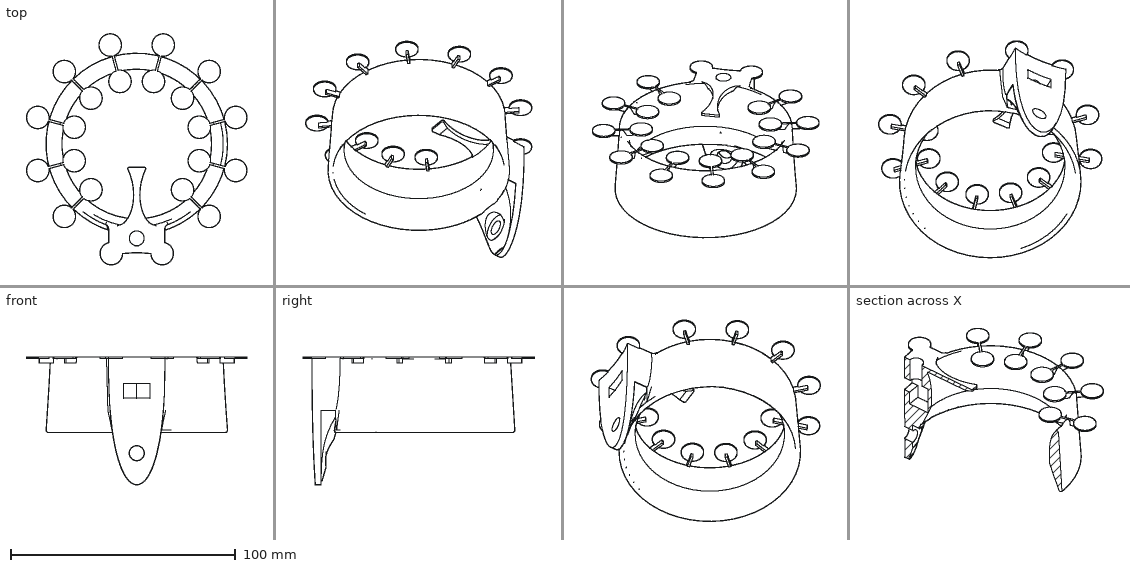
import cadquery as cq
import math


ring_height = 33.8
crest_radius = 37.6
crest_round = 0.9
lip_angle = 36.0
foot_radius = 39.3
foot_round = 1.1
throat_radius = 33.3
throat_top = -11.4
throat_bottom = -20.7

pad_count = 12
pad_radius = 5.0
pad_thickness = 0.7
outer_pad_circle = 45.6
inner_pad_circle = 28.8
front_pad_x = 11.3
front_pad_y = -48.8
strut_width = 0.98
strut_depth = 2.9
strut_inner_end = 29.5
strut_outer_end = 45.0

mount_depth = 57.0
mount_half_width = 12.6
outline_power = 2.6
outline_steps = 16
face_center_y = -48.5
face_radius = 54.6
tongue_back_y = -45.8
block_bottom = -23.9
block_back_y = -35.5

corner_fillet = 2.1
corner_overlap = 0.05
corner_end_z = -32.4
corner_end_round = 0.3

gusset_top_y = -36.5
gusset_stations = [0.0, 0.2, 0.4, 0.6, 0.8, 0.95]
gusset_top_side = 0.9
gusset_root = 1.0
gusset_narrowing = 0.98

hole_radius = 3.3
top_hole_y = -42.0
nut_across_flats = 11.6
nut_top = -11.9
nut_slot_height = 6.5
nut_seat_height = 13.2
nut_lip_y = -45.5
tongue_hole_z = -42.9
head_recess_radius = 6.2
head_recess_floor_y = -43.8

pointer_end_y = -10.3
pointer_end_half_width = 4.0
pointer_corner = 0.8
waist_y = -22.7
waist_half_width = 1.4
root_y = -36.2
root_half_width = 8.6
pointer_tip_depth = 1.0
pointer_depth = 2.4
pointer_ramp = 3.6

crest_z = -crest_round
foot_z = foot_round - ring_height


def make_ring():
    """Ring wall: conical outside, with a bell mouth, a throat and a conical outlet inside."""
    lip_radius = crest_radius - crest_round * math.cos(math.radians(lip_angle))
    lip_z = crest_z + crest_round * math.sin(math.radians(lip_angle))
    return (
        cq.Workplane("XZ")
        .moveTo(crest_radius + crest_round, crest_z)
        .lineTo(foot_radius + foot_round, foot_z)
        .threePointArc((foot_radius, -ring_height), (foot_radius - foot_round, foot_z))
        .lineTo(throat_radius, throat_bottom)
        .lineTo(throat_radius, throat_top)
        .tangentArcPoint((lip_radius, lip_z), relative=False)
        .threePointArc((crest_radius, 0), (crest_radius + crest_round, crest_z))
        .close()
        .revolve(360, (0, 0, 0), (0, 1, 0))
    )


def make_core():
    """Cone along the middle of the ring wall, which keeps the mount out of the bore."""
    return (
        cq.Workplane("XZ")
        .moveTo(0, -ring_height)
        .lineTo(0, 0)
        .lineTo(crest_radius, 0)
        .lineTo(foot_radius, -ring_height)
        .close()
        .revolve(360, (0, 0, 0), (0, 1, 0))
    )


def mount_half_width_at(z):
    """Half-width of the mount outline, a quarter of a superellipse from top to tip."""
    return mount_half_width * math.sqrt(1 - (-z / mount_depth) ** outline_power)


def make_outline_prism():
    """Mount outline, wide at the top and oval at the tip, extruded from front to back."""
    corner = (mount_half_width, 0)
    points = []
    for i in range(1, outline_steps):
        angle = math.pi * i / outline_steps
        depth_share = math.sin(angle) ** (2 / outline_power)
        points.append((mount_half_width * math.cos(angle), -mount_depth * depth_share))
    points.append((-mount_half_width, 0))
    return (
        cq.Workplane("XZ", origin=(0, block_back_y, 0))
        .moveTo(*corner)
        .spline(points, tangents=[(0, -1), (0, 1)], includeCurrent=True)
        .close()
        .extrude(mount_depth)
    )


def make_gusset():
    """Rib behind the tongue, lofted through arched sections that shrink downwards."""
    rib = cq.Workplane("XY")
    top_height = gusset_top_y - tongue_back_y
    last_z = 0
    for share in gusset_stations:
        z = block_bottom - share * (mount_depth + block_bottom)
        half_width = mount_half_width_at(z) * gusset_narrowing
        height = top_height * (1 - share)
        apex_y = tongue_back_y + height
        side_y = tongue_back_y + height * gusset_top_side * (1 - share) ** 2
        front_y = tongue_back_y - gusset_root
        rib = (
            rib.workplane(offset=z - last_z)
            .moveTo(-half_width, front_y)
            .lineTo(half_width, front_y)
            .lineTo(half_width, side_y)
            .threePointArc((0, apex_y), (-half_width, side_y))
            .close()
        )
        last_z = z
    return rib.loft()


def make_mount():
    """Block, tongue and gusset, with the concave front face."""
    space_behind_tongue = (
        cq.Workplane("XY", origin=(0, 0, block_bottom))
        .rect(2 * mount_depth, -2 * tongue_back_y)
        .extrude(-mount_depth)
    )
    face_cutter = (
        cq.Workplane("XY")
        .center(0, face_center_y - face_radius)
        .circle(face_radius)
        .extrude(-mount_depth)
    )
    return make_outline_prism().cut(space_behind_tongue).cut(face_cutter).union(make_gusset())


def corner_section(workplane, z, round_radius):
    """Section of the right-hand corner fillet between the mount side and the ring wall."""
    drop = (crest_z - z) / (crest_z - foot_z)
    wall_radius = crest_radius + drop * (foot_radius - crest_radius)
    skin_radius = wall_radius + crest_round + drop * (foot_round - crest_round)
    side_x = mount_half_width_at(z)
    center_x = side_x + round_radius
    reach = skin_radius + round_radius - corner_overlap
    center_y = -math.sqrt(reach**2 - center_x**2)
    turn = math.atan2(-center_y, -center_x)

    def arc_point(angle):
        return (
            center_x + round_radius * math.cos(angle),
            center_y + round_radius * math.sin(angle),
        )

    end_x, end_y = arc_point(turn)
    inward = wall_radius / math.hypot(end_x, end_y)
    return (
        workplane.moveTo(side_x, center_y)
        .threePointArc(arc_point((math.pi + turn) / 2), (end_x, end_y))
        .lineTo(end_x * inward, end_y * inward)
        .lineTo(side_x - corner_fillet, end_y * inward)
        .lineTo(side_x - corner_fillet, center_y)
        .close()
    )


def make_corner(top, bottom, top_round, bottom_round):
    """Right-hand corner fillet between two heights."""
    section = corner_section(cq.Workplane("XY", origin=(0, 0, top)), top, top_round)
    section = corner_section(section.workplane(offset=bottom - top), bottom, bottom_round)
    return section.loft(ruled=True)


def add_corners(mount):
    """Both corner fillets, each in a constant upper and a fading lower part."""
    upper = make_corner(0, block_bottom, corner_fillet, corner_fillet)
    lower = make_corner(block_bottom, corner_end_z, corner_fillet, corner_end_round)
    for corner in (upper, lower):
        mount = mount.union(corner).union(corner.mirror("YZ"))
    return mount


def make_pad(x, y):
    """Thin disc hanging from the top face."""
    return cq.Workplane("XY").center(x, y).circle(pad_radius).extrude(-pad_thickness)


def make_strut(angle):
    """Radial bar that carries an inner and an outer pad."""
    length = strut_outer_end - strut_inner_end
    middle = (strut_outer_end + strut_inner_end) / 2
    return (
        cq.Workplane("XY")
        .center(middle, 0)
        .rect(length, strut_width)
        .extrude(-strut_depth)
        .rotate((0, 0, 0), (0, 0, 1), angle)
    )


def add_pads(body):
    """Pad pairs all round the ring, except at the mount, which carries two single pads."""
    pitch = 360 / pad_count
    for i in range(pad_count):
        angle = -90 + (i + 0.5) * pitch
        if i in (0, pad_count - 1):
            side = 1 if i == 0 else -1
            body = body.union(make_pad(side * front_pad_x, front_pad_y))
            continue
        body = body.union(make_strut(angle))
        for radius in (inner_pad_circle, outer_pad_circle):
            x = radius * math.cos(math.radians(angle))
            y = radius * math.sin(math.radians(angle))
            body = body.union(make_pad(x, y))
    return body


def make_pointer():
    """Waisted finger, thinner towards its free end."""
    bow_drop = pointer_end_half_width - waist_half_width
    bow_length = pointer_end_y - pointer_corner - waist_y
    bow_radius = (bow_drop**2 + bow_length**2) / (2 * bow_drop)
    sweep_x = root_half_width - waist_half_width
    sweep_y = waist_y - root_y
    shoulder_y = pointer_end_y - pointer_corner
    end_x = pointer_end_half_width - pointer_corner

    outline = (
        cq.Workplane("XY")
        .moveTo(-root_half_width, top_hole_y)
        .lineTo(-root_half_width, root_y)
        .ellipseArc(sweep_x, sweep_y, 270, 360, sense=1)
        .radiusArc((-pointer_end_half_width, shoulder_y), -bow_radius)
        .radiusArc((-end_x, pointer_end_y), pointer_corner)
        .lineTo(end_x, pointer_end_y)
        .radiusArc((pointer_end_half_width, shoulder_y), pointer_corner)
        .radiusArc((waist_half_width, waist_y), -bow_radius)
        .ellipseArc(sweep_x, sweep_y, 180, 270, sense=1)
        .lineTo(root_half_width, top_hole_y)
        .close()
        .extrude(-pointer_depth)
    )
    side_profile = (
        cq.Workplane("YZ", origin=(-root_half_width, 0, 0))
        .moveTo(pointer_end_y, 0)
        .lineTo(pointer_end_y, -pointer_tip_depth)
        .lineTo(pointer_end_y - pointer_ramp, -pointer_depth)
        .lineTo(top_hole_y, -pointer_depth)
        .lineTo(top_hole_y, 0)
        .close()
        .extrude(2 * root_half_width)
    )
    return outline.intersect(side_profile)


def cut_holes(body):
    """Top hole down to a nut seat with a front slot, and a recessed hole through the tongue."""
    top_hole = (
        cq.Workplane("XY").center(0, top_hole_y).circle(hole_radius).extrude(nut_top)
    )
    half_flats = nut_across_flats / 2
    half_side = half_flats * math.tan(math.pi / 6)
    nut_seat = (
        cq.Workplane("XY", origin=(0, 0, nut_top))
        .moveTo(-half_flats, nut_lip_y)
        .lineTo(half_flats, nut_lip_y)
        .lineTo(half_flats, top_hole_y + half_side)
        .lineTo(0, top_hole_y + 2 * half_side)
        .lineTo(-half_flats, top_hole_y + half_side)
        .close()
        .extrude(-nut_seat_height)
    )
    nut_slot = (
        cq.Workplane("XZ", origin=(0, nut_lip_y, 0))
        .center(0, nut_top - nut_slot_height / 2)
        .rect(nut_across_flats, nut_slot_height)
        .extrude(mount_depth)
    )
    tongue_hole = (
        cq.Workplane("XZ")
        .center(0, tongue_hole_z)
        .circle(hole_radius)
        .extrude(2 * mount_depth)
    )
    head_recess = (
        cq.Workplane("XZ")
        .center(0, tongue_hole_z)
        .circle(head_recess_radius)
        .extrude(-head_recess_floor_y)
    )
    for tool in (top_hole, nut_seat, nut_slot, tongue_hole, head_recess):
        body = body.cut(tool)
    return body


mount = add_corners(make_mount()).cut(make_core())
body = make_ring().union(mount).union(make_pointer())
result = cut_holes(add_pads(body))